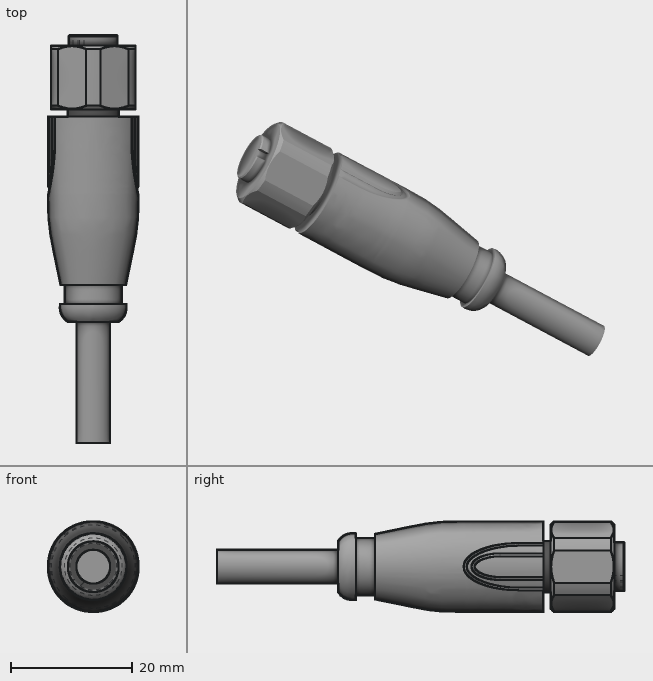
import cadquery as cq
import math

NUT_START = 1.7
NUT_END = 12.25
BODY_START = 13.45
STRAIGHT_END = 27.8
TAPER_START = 34.4
BODY_END = 41.3
BULB_START = 44.4
BULB_MIDDLE = 46.3
BULB_END = 47.35
TOTAL_LENGTH = 67.4

BODY_RADIUS = 7.5
BODY_END_RADIUS = 5.4
PLUG_RADIUS = 4.05
PLUG_CHAMFER = 0.2
COLLAR_RADIUS = 4.25
NECK_RADIUS = 4.75
BULB_RADIUS = 5.5
BULB_MIDDLE_RADIUS = 5.2
BULB_END_RADIUS = 4.2
CABLE_RADIUS = 2.8

NUT_RADIUS = 7.5
NUT_ACROSS_FLATS = 14.0
NUT_CHAMFER = 0.6

KEY_ANGLE = 45
KEY_WIDTH = 1.45
KEY_DEPTH = 1.2

RECESS_HALF_WIDTH = 3.9
RECESS_ROUND_START = 17.55
RECESS_TIP = 26.6
RECESS_DEPTH = 0.3
RECESS_WALL_RUN = 0.5
RECESS_WALL_DROP = 0.25
PAD_HALF_WIDTH = 2.2
PAD_ROUND_START = 20.6
PAD_TIP = 25.3
PAD_SLOPE_RUN = 0.5
PAD_SLOPE_DROP = 0.25

MARGIN = 1.0


def cylinder(radius, start, end):
    """Cylinder on the Y axis between two stations."""
    return cq.Workplane("XZ", origin=(0, -start, 0)).circle(radius).extrude(end - start)


def plug():
    """Front insert with a chamfered tip and one key slot along it."""
    insert = cylinder(PLUG_RADIUS, 0, NUT_START).faces(">Y").chamfer(PLUG_CHAMFER)
    slot = (
        cq.Workplane("XY")
        .box(KEY_DEPTH + MARGIN, 2 * NUT_START, KEY_WIDTH)
        .translate((-PLUG_RADIUS + (KEY_DEPTH - MARGIN) / 2, 0, 0))
        .rotate((0, 0, 0), (0, 1, 0), -KEY_ANGLE)
    )
    return insert.cut(slot)


def nut():
    """Hexagonal nut, corners up and down, rounded and chamfered at both ends."""
    length = NUT_END - NUT_START
    across_corners = NUT_ACROSS_FLATS / math.cos(math.radians(30))
    hexagon = (
        cq.Workplane("XZ", origin=(0, -NUT_START, 0))
        .transformed(rotate=(0, 0, 90))
        .polygon(6, across_corners)
        .extrude(length)
    )
    envelope = cylinder(NUT_RADIUS, NUT_START, NUT_END).faces("<Y or >Y").chamfer(NUT_CHAMFER)
    return hexagon.intersect(envelope)


def grip_and_cable():
    """Turned collar, grip body, neck, strain-relief bulb and cable."""
    taper_length = BODY_END - TAPER_START
    slope = (BODY_RADIUS - BODY_END_RADIUS) / (taper_length + (TAPER_START - STRAIGHT_END) / 2)
    taper_radius = BODY_END_RADIUS + slope * taper_length
    level = (-1, 0)
    falling = (-1, -slope)
    outline = (
        cq.Workplane("YZ")
        .moveTo(-NUT_END, 0)
        .lineTo(-NUT_END, COLLAR_RADIUS)
        .lineTo(-BODY_START, COLLAR_RADIUS)
        .lineTo(-BODY_START, BODY_RADIUS)
        .spline(
            [
                (-STRAIGHT_END, BODY_RADIUS),
                (-TAPER_START, taper_radius),
                (-BODY_END, BODY_END_RADIUS),
            ],
            tangents=[level, level, falling, falling],
            includeCurrent=True,
        )
        .lineTo(-BODY_END, NECK_RADIUS)
        .lineTo(-BULB_START, NECK_RADIUS)
        .lineTo(-BULB_START, BULB_RADIUS)
        .threePointArc((-BULB_MIDDLE, BULB_MIDDLE_RADIUS), (-BULB_END, BULB_END_RADIUS))
        .lineTo(-BULB_END, CABLE_RADIUS)
        .lineTo(-TOTAL_LENGTH, CABLE_RADIUS)
        .lineTo(-TOTAL_LENGTH, 0)
        .close()
    )
    return outline.revolve(360, (0, 0, 0), (1, 0, 0))


def tongue(half_width, round_start, tip, inner_radius, outer_radius):
    """Curved plate on the -X side: straight edges from ahead of the body, half-ellipse end."""
    front = BODY_START - MARGIN
    prism = (
        cq.Workplane("YZ")
        .moveTo(-front, -half_width)
        .lineTo(-round_start, -half_width)
        .ellipseArc(tip - round_start, half_width, 90, 270, startAtCurrent=True, sense=-1)
        .lineTo(-front, half_width)
        .close()
        .extrude(-outer_radius - MARGIN)
    )
    shell = cylinder(outer_radius, 0, STRAIGHT_END).cut(cylinder(inner_radius, 0, STRAIGHT_END))
    return prism.intersect(shell)


def label_recess_cutter():
    """U-shaped groove around the pad, with sloped outer wall and sloped pad edge."""
    floor_radius = BODY_RADIUS - RECESS_DEPTH
    groove = tongue(RECESS_HALF_WIDTH, RECESS_ROUND_START, RECESS_TIP, floor_radius, BODY_RADIUS + MARGIN)
    groove = groove.faces("%CYLINDER").faces(">X").chamfer(RECESS_WALL_RUN, RECESS_WALL_DROP)
    pad = tongue(PAD_HALF_WIDTH, PAD_ROUND_START, PAD_TIP, floor_radius - MARGIN, BODY_RADIUS)
    pad = pad.faces("<X").chamfer(PAD_SLOPE_DROP, PAD_SLOPE_RUN)
    return groove.cut(pad).cut(cylinder(BODY_RADIUS + 2 * MARGIN, 0, BODY_START))


cutter = label_recess_cutter()
grip = grip_and_cable().cut(cutter).cut(cutter.mirror("YZ"))
result = plug().union(nut()).union(grip)